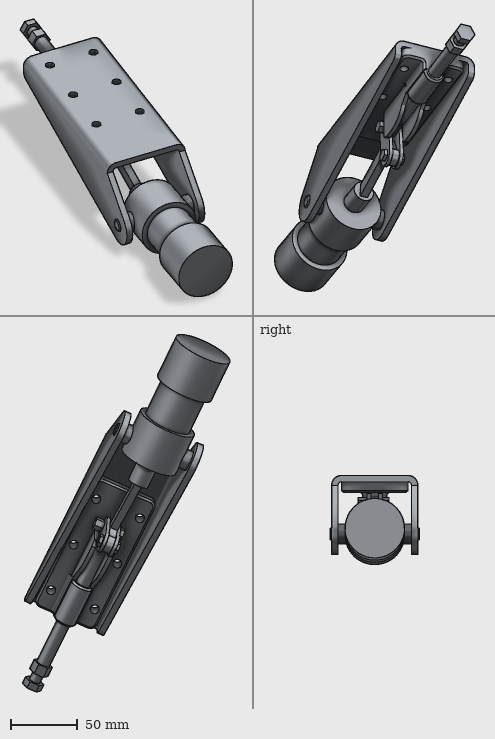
import cadquery as cq
import math


frame_length = 145.0
frame_width = 65.0
sheet = 5.0
bend_radius = 7.5
pivot_x = 163.8
pivot_z = -44.0
side_end_radius = 15.3
side_slope = 14.9
side_front_radius = 5.5

flange_width = 50.2
flange_bottom = -13.0
flange_corner_radius = 5.5
guide_end_chamfer = 1.5
neck_width = 18.0
neck_fillet = 2.5
barrel_radius = 8.3
barrel_length = 33.7
cheek_gap = 11.5
cheek_bottom = -38.3
cheek_end = 74.5
cheek_corner_run = 5.0
cheek_corner_rise = 2.5
lobe_start_x, lobe_start_z = 41.3, -27.2
lobe_middle_x, lobe_middle_z = 50.0, -35.2
lobe_bottom_x = 61.2

hole_diameter = 6.7
hole_first_x = 16.2
hole_pitch = 40.0
hole_columns = 3
hole_y = 18.0
flange_length = 2 * hole_first_x + (hole_columns - 1) * hole_pitch

plunger_z = -21.5
plunger_radius = 5.2
plunger_start = -36.5
plunger_round_end = 67.3
bolt_start = -57.2
bolt_radius = 4.3
bolt_head_length = 5.5
jam_nut_length = 8.0
hex_flats = 13.2
flat_thickness = 5.8

link_thickness = 2.8
link_radius = 8.0
link_lean = 5
link_bolt_radius = 2.5
upper_bolt_left = 10.7
upper_bolt_right = 12.5
lower_bolt_left = 8.3
lower_bolt_right = 9.2
lower_nut_tip = 1.0
link_hex_flats = 8.3
link_outer_y = flat_thickness / 2 + link_thickness

handle_tilt = 3
grip_radius = 22.3
waist_radius = 18.0
collar_start = -12.5
collar_end = 20.8
waist_end = 50.8
grip_end = 84.2
stub_radius = 8.0
stub_start = -31.5
eye_position = -84.5
eye_radius = 6.5
elbow_x, elbow_z = 86.5, -33.7
arm_half_height = 5.0
trunnion_boss_radius = 7.5
trunnion_radius = 5.0
trunnion_length = 67.0
trunnion_chamfer = 1.0

tilt = math.radians(handle_tilt)
lower_bolt_x = pivot_x + eye_position * math.cos(tilt)
lower_bolt_z = pivot_z + eye_position * math.sin(tilt)
upper_bolt_x = lower_bolt_x + (plunger_z - lower_bolt_z) * math.tan(math.radians(link_lean))


def cylinder_along_y(x, z, radius, y_start, y_end):
    plane = cq.Workplane("XZ", origin=(x, y_end, z))
    return plane.circle(radius).extrude(y_end - y_start)


def hexagon_along_y(x, z, flats, y_start, y_end):
    plane = cq.Workplane("XZ", origin=(x, y_end, z))
    return plane.polygon(6, flats, circumscribed=True).extrude(y_end - y_start)


def cylinder_along_x(z, radius, x_start, x_end):
    plane = cq.Workplane("YZ", origin=(x_start, 0, z))
    return plane.circle(radius).extrude(x_end - x_start)


def hexagon_along_x(z, flats, x_start, length):
    plane = cq.Workplane("YZ", origin=(x_start, 0, z))
    hexagon = plane.polygon(6, flats, circumscribed=True).extrude(length)
    return hexagon.rotate((0, 0, z), (1, 0, z), 90)


def flat_bar(start, end, half_height, thickness, y_end):
    """Round-ended upright bar between two (x, z) points, reaching back from y_end."""
    run, rise = end[0] - start[0], end[1] - start[1]
    length = math.hypot(run, rise)
    return (
        cq.Workplane("XZ", origin=(start[0], y_end, start[1]))
        .transformed(rotate=(0, 0, math.degrees(math.atan2(rise, run))))
        .center(length / 2, 0)
        .slot2D(length + 2 * half_height, 2 * half_height)
        .extrude(thickness)
    )


def channel_side_outline():
    """Side outline of the bent sheet, with the rounded pivot end."""
    slope = math.radians(side_slope)
    lower_x = pivot_x - side_end_radius * math.sin(slope)
    lower_z = pivot_z - side_end_radius * math.cos(slope)
    front_z = lower_z + lower_x * math.tan(slope)
    corner_x = frame_length - pivot_x
    corner_z = -bend_radius - pivot_z
    corner_angle = math.atan2(corner_z, corner_x)
    upper_angle = corner_angle - math.acos(side_end_radius / math.hypot(corner_x, corner_z))
    upper_x = pivot_x + side_end_radius * math.cos(upper_angle)
    upper_z = pivot_z + side_end_radius * math.sin(upper_angle)
    return (
        cq.Workplane("XZ", origin=(0, frame_width / 2, 0))
        .lineTo(frame_length, 0)
        .lineTo(frame_length, -bend_radius)
        .lineTo(upper_x, upper_z)
        .threePointArc((pivot_x + side_end_radius, pivot_z), (lower_x, lower_z))
        .lineTo(0, front_z)
        .close()
    )


def centred_bar(width, top, bottom, length):
    """Bar along X from X = 0, centred on Y = 0."""
    return cq.Workplane("XY", origin=(0, 0, bottom)).box(
        length, width, top - bottom, centered=(False, True, False)
    )


def make_channel():
    """Bent sheet: a top plate with two side plates."""
    side_bottom = pivot_z - side_end_radius
    length = pivot_x + side_end_radius
    channel = channel_side_outline().extrude(frame_width)
    channel = channel.edges("|Y").edges("<X").edges("<Z").fillet(side_front_radius)
    bend = centred_bar(frame_width, 0, side_bottom, length)
    bend = bend.edges("|X and >Z").fillet(bend_radius)
    inside = centred_bar(frame_width - 2 * sheet, -sheet, side_bottom, length)
    inside = inside.edges("|X and >Z").fillet(bend_radius - sheet)
    return channel.intersect(bend).cut(inside)


def make_guide():
    """Flange under the sheet, neck and barrel around the plunger, and two cheeks."""
    guide_top = -sheet / 2
    flange = centred_bar(flange_width, guide_top, flange_bottom, flange_length)
    flange = flange.edges("|Z").fillet(flange_corner_radius)
    neck = centred_bar(neck_width, flange_bottom, plunger_z, barrel_length)
    barrel = cylinder_along_x(plunger_z, barrel_radius, 0, barrel_length)
    barrel = barrel.faces(">X").edges().chamfer(guide_end_chamfer)
    front = flange.union(neck)
    corner = cq.selectors.BoxSelector(
        (0, -neck_width, flange_bottom - neck_fillet),
        (barrel_length, neck_width, flange_bottom + neck_fillet),
    )
    front = front.edges("|X").edges(corner).fillet(neck_fillet)
    front = front.union(barrel)
    front = front.faces("<X").edges().chamfer(guide_end_chamfer)
    return front.union(make_cheeks())


def make_cheeks():
    lobe = (
        cq.Workplane("XZ", origin=(0, neck_width / 2, 0))
        .moveTo(barrel_length, flange_bottom)
        .lineTo(barrel_length, plunger_z)
        .lineTo(lobe_start_x, lobe_start_z)
        .threePointArc((lobe_middle_x, lobe_middle_z), (lobe_bottom_x, cheek_bottom))
        .lineTo(cheek_end - cheek_corner_run, cheek_bottom)
        .lineTo(cheek_end, cheek_bottom + cheek_corner_rise)
        .lineTo(cheek_end, flange_bottom)
        .close()
        .extrude(neck_width)
    )
    slot = centred_bar(cheek_gap, flange_bottom, cheek_bottom, cheek_end)
    return lobe.cut(slot)


def make_frame():
    frame = make_channel().union(make_guide())
    frame = frame.cut(cylinder_along_x(plunger_z, plunger_radius, 0, barrel_length))
    pivot_hole = cylinder_along_y(pivot_x, pivot_z, trunnion_radius, -frame_width, frame_width)
    hole_spots = [
        (hole_first_x + column * hole_pitch, side * hole_y)
        for column in range(hole_columns)
        for side in (-1, 1)
    ]
    holes = cq.Workplane("XY").pushPoints(hole_spots).circle(hole_diameter / 2).extrude(flange_bottom)
    return frame.cut(pivot_hole).cut(holes)


def link_bolt(x, z, left_end, right_end):
    """Bolt across both links: shank, and a hexagon outside each link."""
    shank = cylinder_along_y(x, z, link_bolt_radius, -link_outer_y, link_outer_y)
    head = hexagon_along_y(x, z, link_hex_flats, link_outer_y, left_end)
    nut = hexagon_along_y(x, z, link_hex_flats, -right_end, -link_outer_y)
    return shank.union(head).union(nut)


def make_plunger():
    """Adjusting bolt, jam nut, rod and the flat tongue between the links."""
    bolt = cylinder_along_x(plunger_z, bolt_radius, bolt_start, plunger_start)
    head = hexagon_along_x(plunger_z, hex_flats, bolt_start, bolt_head_length)
    nut = hexagon_along_x(plunger_z, hex_flats, plunger_start - jam_nut_length, jam_nut_length)
    rod = cylinder_along_x(plunger_z, plunger_radius, plunger_start, plunger_round_end)
    tongue_length = upper_bolt_x - plunger_round_end
    tongue = cq.Workplane("XY", origin=(plunger_round_end, 0, plunger_z)).box(
        tongue_length, flat_thickness, 2 * plunger_radius, centered=(False, True, True)
    )
    half_flat = flat_thickness / 2
    eye = cylinder_along_y(upper_bolt_x, plunger_z, plunger_radius, -half_flat, half_flat)
    cross_bolt = link_bolt(upper_bolt_x, plunger_z, upper_bolt_left, upper_bolt_right)
    plunger = bolt
    for piece in (head, nut, rod, tongue, eye, cross_bolt):
        plunger = plunger.union(piece)
    return plunger


def make_link(side):
    """Flat link between the two bolts, on the +Y or -Y side of the tongues."""
    inner = flat_thickness / 2
    y_start, y_end = sorted((side * inner, side * link_outer_y))
    lower_centre = (lower_bolt_x, lower_bolt_z)
    upper_centre = (upper_bolt_x, plunger_z)
    link = flat_bar(lower_centre, upper_centre, link_radius, link_thickness, y_end)
    for x, z in (lower_centre, upper_centre):
        link = link.cut(cylinder_along_y(x, z, link_bolt_radius, y_start, y_end))
    return link


def make_arm():
    """Flat bent arm from the stub, over the side edge of the frame, down to the lower bolt."""
    half_flat = flat_thickness / 2
    eye_centre = (lower_bolt_x, lower_bolt_z)
    elbow = (elbow_x, elbow_z)
    stub_centre = (pivot_x + stub_start * math.cos(tilt), pivot_z + stub_start * math.sin(tilt))
    eye = cylinder_along_y(*eye_centre, eye_radius, -half_flat, half_flat)
    lower_arm = flat_bar(eye_centre, elbow, arm_half_height, flat_thickness, half_flat)
    upper_arm = flat_bar(elbow, stub_centre, arm_half_height, flat_thickness, half_flat)
    return eye.union(lower_arm).union(upper_arm)


def make_handle():
    """Grip, waist, collar and stub, with the flat arm, trunnions and lower bolt."""
    boss_reach = frame_width / 2 - sheet
    sections = [
        (stub_start, collar_start, stub_radius),
        (collar_start, collar_end, grip_radius),
        (collar_end, waist_end, waist_radius),
        (waist_end, grip_end, grip_radius),
    ]
    handle = cylinder_along_y(0, 0, trunnion_boss_radius, -boss_reach, boss_reach)
    for start, end, radius in sections:
        handle = handle.union(cylinder_along_x(0, radius, start, end))
    half_trunnion = trunnion_length / 2
    trunnion = cylinder_along_y(0, 0, trunnion_radius, -half_trunnion, half_trunnion)
    handle = handle.union(trunnion.edges("%CIRCLE").chamfer(trunnion_chamfer))
    handle = handle.rotate((0, 0, 0), (0, 1, 0), -handle_tilt).translate((pivot_x, 0, pivot_z))

    bolt = link_bolt(lower_bolt_x, lower_bolt_z, lower_bolt_left, lower_bolt_right - lower_nut_tip)
    tip = cylinder_along_y(lower_bolt_x, lower_bolt_z, link_bolt_radius, -lower_bolt_right, 0)
    return handle.union(make_arm()).union(bolt).union(tip)


frame = make_frame()
plunger = make_plunger()
links = [make_link(side) for side in (-1, 1)]
handle = make_handle()

result = cq.Compound.makeCompound(
    [frame.val(), plunger.val(), *[link.val() for link in links], handle.val()]
)